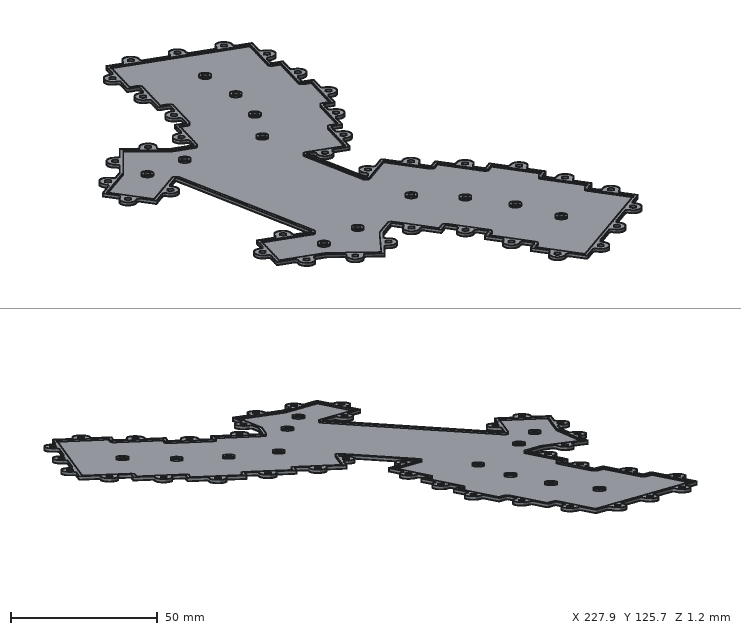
import cadquery as cq
import math

PLATE_THICKNESS = 1.2
FLOOR_DEPTH = 0.6
RIM_WIDTH = 1.2
CORNER_RADIUS = 0.2

KEY_WIDTH = 18.0
KEY_HEIGHT = 17.0
HALF_KEY_WIDTH = KEY_WIDTH / 2
HALF_KEY_HEIGHT = KEY_HEIGHT / 2

WING_ANGLE = -25.0
WING_LEFT = -107.93
OUTER_COLUMN_CENTER = -8.33
STAGGER = 4.25
COLUMN_OFFSETS = [0.0, STAGGER, 2 * STAGGER, STAGGER, 0.0]
COLUMN_COUNT = len(COLUMN_OFFSETS)
ROW_COUNT = 3
COLUMN_HEIGHT = ROW_COUNT * KEY_HEIGHT
WING_RIGHT = WING_LEFT + COLUMN_COUNT * KEY_WIDTH

OUTER_THUMB_CENTER = (-48.62, -32.54)
OUTER_THUMB_ANGLE = 44.0
INNER_THUMB_CENTER = (-36.76, -49.3)
INNER_THUMB_ANGLE = 25.0

UPPER_BRIDGE_Y = 8.15
LOWER_BRIDGE_Y = -34.85

TAB_RADIUS = 2.98
TAB_FILLET = 1.0
TAB_REACH = 2.72
TAB_HOLE_DIAMETER = 2.2

BOSS_DIAMETER = 4.2
BOSS_HOLE_DIAMETER = 2.2
WING_BOSS_V = [-6.2, -1.96, -1.96, -6.2]
THUMB_BOSSES = [(-40.85, -22.66), (-41.69, -40.13)]


def place(point, angle, origin):
    """Turn a local point by an angle in degrees and move it to an origin."""
    cosine = math.cos(math.radians(angle))
    sine = math.sin(math.radians(angle))
    x, y = point
    return (origin[0] + x * cosine - y * sine, origin[1] + x * sine + y * cosine)


def wing(u, v):
    return place((u, v), WING_ANGLE, (0, 0))


def outer_thumb(u, v):
    return place((u, v), OUTER_THUMB_ANGLE, OUTER_THUMB_CENTER)


def inner_thumb(u, v):
    return place((u, v), INNER_THUMB_ANGLE, INNER_THUMB_CENTER)


def mirrored(points):
    return [(-x, y) for x, y in points]


def crossing(first_line, second_line):
    """Point where two lines meet, each given by two of its points."""
    (ax, ay), (bx, by) = first_line
    (cx, cy), (dx, dy) = second_line
    first_x, first_y = bx - ax, by - ay
    second_x, second_y = dx - cx, dy - cy
    turn = first_x * second_y - first_y * second_x
    share = ((cx - ax) * second_y - (cy - ay) * second_x) / turn
    return (ax + share * first_x, ay + share * first_y)


def column_left(i):
    return WING_LEFT + i * KEY_WIDTH


def column_top(i):
    return OUTER_COLUMN_CENTER + COLUMN_OFFSETS[i] + COLUMN_HEIGHT / 2


def column_bottom(i):
    return column_top(i) - COLUMN_HEIGHT


def left_outline():
    """Floor corners of the left half, from the upper to the lower end of the symmetry line."""
    last = COLUMN_COUNT - 1
    upper_bridge = ((0, UPPER_BRIDGE_Y), (1, UPPER_BRIDGE_Y))
    lower_bridge = ((0, LOWER_BRIDGE_Y), (1, LOWER_BRIDGE_Y))
    wing_right_edge = (wing(WING_RIGHT, 0), wing(WING_RIGHT, 1))
    last_column_edge = (wing(column_left(last), 0), wing(column_left(last), 1))
    outer_thumb_top = (outer_thumb(0, HALF_KEY_WIDTH), outer_thumb(1, HALF_KEY_WIDTH))
    outer_thumb_left = (outer_thumb(-HALF_KEY_HEIGHT, 0), outer_thumb(-HALF_KEY_HEIGHT, 1))
    inner_thumb_left = (inner_thumb(-HALF_KEY_HEIGHT, 0), inner_thumb(-HALF_KEY_HEIGHT, 1))
    inner_thumb_right = (inner_thumb(HALF_KEY_HEIGHT, 0), inner_thumb(HALF_KEY_HEIGHT, 1))

    points = [(0, UPPER_BRIDGE_Y), crossing(wing_right_edge, upper_bridge)]
    for i in reversed(range(COLUMN_COUNT)):
        points.append(wing(column_left(i + 1), column_top(i)))
        points.append(wing(column_left(i), column_top(i)))
    for i in range(last):
        points.append(wing(column_left(i), column_bottom(i)))
        points.append(wing(column_left(i + 1), column_bottom(i)))
    points.append(crossing(last_column_edge, outer_thumb_top))
    points.append(outer_thumb(-HALF_KEY_HEIGHT, HALF_KEY_WIDTH))
    points.append(crossing(outer_thumb_left, inner_thumb_left))
    points.append(inner_thumb(-HALF_KEY_HEIGHT, -HALF_KEY_WIDTH))
    points.append(inner_thumb(HALF_KEY_HEIGHT, -HALF_KEY_WIDTH))
    points.append(crossing(inner_thumb_right, lower_bridge))
    points.append((0, LOWER_BRIDGE_Y))
    return points


def left_tab_places():
    """Foot on the floor edge and outward direction in degrees of each tab of the left half."""
    places = []
    for i in range(COLUMN_COUNT):
        middle = column_left(i) + HALF_KEY_WIDTH
        places.append((wing(middle, column_top(i)), WING_ANGLE + 90))
        if i < COLUMN_COUNT - 1:
            places.append((wing(middle, column_bottom(i)), WING_ANGLE - 90))
    for row in range(ROW_COUNT):
        row_center = column_bottom(0) + row * KEY_HEIGHT + HALF_KEY_HEIGHT
        places.append((wing(WING_LEFT, row_center), WING_ANGLE + 180))
    top_row_center = column_top(COLUMN_COUNT - 1) - HALF_KEY_HEIGHT
    places.append((wing(WING_RIGHT, top_row_center), WING_ANGLE))
    places.append((outer_thumb(0, HALF_KEY_WIDTH), OUTER_THUMB_ANGLE + 90))
    places.append((outer_thumb(-HALF_KEY_HEIGHT, 0), OUTER_THUMB_ANGLE + 180))
    places.append((inner_thumb(-HALF_KEY_HEIGHT, 0), INNER_THUMB_ANGLE + 180))
    places.append((inner_thumb(0, -HALF_KEY_WIDTH), INNER_THUMB_ANGLE - 90))
    places.append((inner_thumb(HALF_KEY_HEIGHT, 0), INNER_THUMB_ANGLE))
    return places


def make_tab():
    """A round lug pointing along +Y from the floor edge at Y = 0, with its neck flared into the rim."""
    root_y = RIM_WIDTH / 2
    flare_center_y = RIM_WIDTH + TAB_FILLET
    center_distance = TAB_RADIUS + TAB_FILLET
    rise = TAB_REACH - flare_center_y
    flare_x = math.sqrt(center_distance**2 - rise**2)
    tangent_x = flare_x * TAB_RADIUS / center_distance
    tangent_y = TAB_REACH - rise * TAB_RADIUS / center_distance

    start_angle = -math.pi / 2
    end_angle = math.atan2(rise, -flare_x) - (2 * math.pi if rise > 0 else 0)
    middle_angle = (start_angle + end_angle) / 2
    middle_x = flare_x + TAB_FILLET * math.cos(middle_angle)
    middle_y = flare_center_y + TAB_FILLET * math.sin(middle_angle)

    lug = (
        cq.Workplane("XY")
        .moveTo(flare_x, root_y)
        .lineTo(flare_x, RIM_WIDTH)
        .threePointArc((middle_x, middle_y), (tangent_x, tangent_y))
        .threePointArc((0, TAB_REACH + TAB_RADIUS), (-tangent_x, tangent_y))
        .threePointArc((-middle_x, middle_y), (-flare_x, RIM_WIDTH))
        .lineTo(-flare_x, root_y)
        .close()
        .extrude(PLATE_THICKNESS)
    )
    hole = cq.Workplane("XY").center(0, TAB_REACH).circle(TAB_HOLE_DIAMETER / 2).extrude(PLATE_THICKNESS)
    return lug.cut(hole)


def make_left_tabs():
    upright_tab = make_tab()
    tabs = cq.Workplane("XY")
    for foot, direction in left_tab_places():
        turned = upright_tab.rotate((0, 0, 0), (0, 0, 1), direction - 90)
        tabs = tabs.union(turned.translate((*foot, 0)))
    return tabs


def make_slab():
    """The full plate without tabs: the floor outline widened by the rim, with rounded corners."""
    left = left_outline()
    outline = left + mirrored(left[-2:0:-1])
    return (
        cq.Workplane("XY")
        .polyline(outline)
        .close()
        .offset2D(RIM_WIDTH, "intersection")
        .extrude(PLATE_THICKNESS)
        .edges("|Z")
        .fillet(CORNER_RADIUS)
    )


def make_pocket(slab):
    """The space above the floor, a rim width inside the slab edge."""
    top_edge = slab.faces(">Z").wires().toPending()
    return top_edge.offset2D(-RIM_WIDTH, "arc").extrude(-FLOOR_DEPTH, combine=False)


def boss_points():
    left = [wing(column_left(i + 1), v) for i, v in enumerate(WING_BOSS_V)] + THUMB_BOSSES
    return left + mirrored(left)


def cylinders(points, diameter):
    return cq.Workplane("XY").pushPoints(points).circle(diameter / 2).extrude(PLATE_THICKNESS)


slab = make_slab()
left_tabs = make_left_tabs()
plate = slab.union(left_tabs).union(left_tabs.mirror("YZ")).cut(make_pocket(slab))

bosses = boss_points()
result = plate.union(cylinders(bosses, BOSS_DIAMETER)).cut(cylinders(bosses, BOSS_HOLE_DIAMETER))